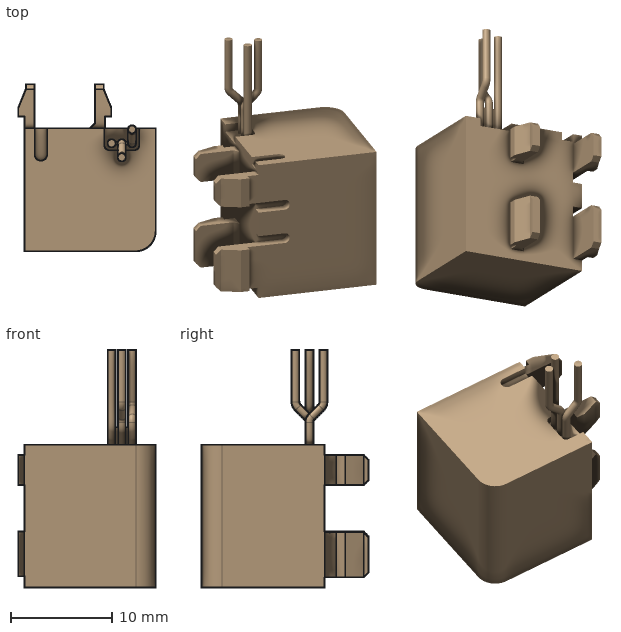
import cadquery as cq
import math

body_width = 13.0
body_depth = 12.2
body_height = 14.15
corner_radius = 2.0
top_recess_depth = 0.8

latch_thickness = 1.0
latch_length = 4.35
latch_tip_chamfer = 0.5
latch_tip_setback = 0.15
barb_reach = 0.6
barb_start = 1.13
barb_flat_end = 2.02
right_latch_face = 8.0
upper_latch_bottom = 10.13
upper_latch_height = 2.98
lower_latch_bottom = 1.1
lower_latch_height = 4.45
right_latch_drop = 0.1
gusset_size = 0.5

relief_length = 3.22
side_slot_width = 1.03
top_slot_width = 1.25

pin_diameter = 0.8
pin_pitch = 1.0
middle_pin_x = 9.64
pin_y = -1.5
pin_top = 23.5
bend_start = body_height + 2.19
bend_radius = 0.8
bend_angle = math.radians(45)
bend_offset = 1.39
web_thickness = 0.28
web_height = 1.72

pin_recess_width = 3.45
pin_recess_depth = 2.19
pin_recess_radius = 0.5

recess_floor = body_height - top_recess_depth


def box(x_min, y_min, z_min, width, depth, height):
    return cq.Workplane("XY").box(width, depth, height, centered=False).translate((x_min, y_min, z_min))


def make_body():
    block = box(0, -body_depth, 0, body_width, body_depth, body_height)
    return block.edges("|Z and >X and <Y").fillet(corner_radius)


def make_side_slot(bottom):
    """Round-ended slot in the left face, as deep as a latch is thick."""
    radius = side_slot_width / 2
    straight_length = relief_length - radius
    profile = (
        cq.Workplane("YZ")
        .moveTo(0, bottom)
        .lineTo(-straight_length, bottom)
        .threePointArc((-relief_length, bottom + radius), (-straight_length, bottom + side_slot_width))
        .lineTo(0, bottom + side_slot_width)
        .close()
    )
    return profile.extrude(latch_thickness)


def make_top_slot():
    """Round-ended slot in the top face, just inside the left latches."""
    radius = top_slot_width / 2
    straight_length = relief_length - radius
    left = latch_thickness
    right = left + top_slot_width
    profile = (
        cq.Workplane("XY", origin=(0, 0, recess_floor))
        .moveTo(left, 0)
        .lineTo(left, -straight_length)
        .threePointArc((left + radius, -relief_length), (right, -straight_length))
        .lineTo(right, 0)
        .close()
    )
    return profile.extrude(top_recess_depth)


def make_pin_recess():
    left = middle_pin_x - pin_recess_width / 2
    recess = box(left, -pin_recess_depth, recess_floor, pin_recess_width, pin_recess_depth, top_recess_depth)
    return recess.edges("|Z and <Y").fillet(pin_recess_radius)


def make_latch(bottom, height):
    """Latch with its barb towards -X and its outer face at X = 0."""
    profile = [
        (0, 0),
        (0, barb_start),
        (-barb_reach, barb_start),
        (-barb_reach, barb_flat_end),
        (latch_tip_setback, latch_length - latch_tip_chamfer),
        (latch_tip_setback, latch_length),
        (latch_thickness, latch_length),
        (latch_thickness, 0),
    ]
    latch = cq.Workplane("XY").polyline(profile).close().extrude(height)
    latch = latch.faces(">Y").edges("|X").chamfer(latch_tip_chamfer)
    return latch.translate((0, 0, bottom))


def make_right_latch(bottom, height):
    """Mirrored latch, braced by a gusset at its inner root."""
    gusset = (
        cq.Workplane("XY")
        .moveTo(latch_thickness, 0)
        .lineTo(latch_thickness + gusset_size, 0)
        .lineTo(latch_thickness, gusset_size)
        .close()
        .extrude(height)
        .translate((0, 0, bottom))
    )
    latch = make_latch(bottom, height).union(gusset)
    return latch.mirror("YZ").translate((right_latch_face, 0, 0))


def make_straight_pin(x):
    base = cq.Workplane("XY", origin=(x, pin_y, recess_floor))
    return base.circle(pin_diameter / 2).extrude(pin_top - recess_floor)


def make_bent_pin(x, direction):
    """Pin stepped sideways along Y by two equal, opposite bends."""
    arc_rise = bend_radius * math.sin(bend_angle)
    arc_shift = bend_radius * (1 - math.cos(bend_angle))
    slope_shift = bend_offset - 2 * arc_shift
    slope_rise = slope_shift / math.tan(bend_angle)
    slope_start = bend_start + arc_rise
    slope_end = slope_start + slope_rise
    path = (
        cq.Workplane("YZ", origin=(x, 0, 0))
        .moveTo(pin_y, recess_floor)
        .lineTo(pin_y, bend_start)
        .tangentArcPoint((pin_y + direction * arc_shift, slope_start), relative=False)
        .lineTo(pin_y + direction * (bend_offset - arc_shift), slope_end)
        .tangentArcPoint((pin_y + direction * bend_offset, slope_end + arc_rise), relative=False)
        .lineTo(pin_y + direction * bend_offset, pin_top)
    )
    base = cq.Workplane("XY", origin=(x, pin_y, recess_floor))
    return base.circle(pin_diameter / 2).sweep(path)


def make_web():
    """Thin strip that joins the three pins near their roots."""
    return box(
        middle_pin_x - pin_pitch,
        pin_y - web_thickness / 2,
        recess_floor,
        2 * pin_pitch,
        web_thickness,
        top_recess_depth + web_height,
    )


upper_slot_bottom = upper_latch_bottom - side_slot_width
lower_slot_bottom = lower_latch_bottom + lower_latch_height

result = make_body()
for slot_bottom in (upper_slot_bottom, lower_slot_bottom):
    result = result.cut(make_side_slot(slot_bottom))
result = result.cut(make_top_slot()).cut(make_pin_recess())

result = result.union(make_latch(upper_latch_bottom, upper_latch_height))
result = result.union(make_latch(lower_latch_bottom, lower_latch_height))
result = result.union(make_right_latch(upper_latch_bottom, upper_latch_height))
result = result.union(make_right_latch(lower_latch_bottom - right_latch_drop, lower_latch_height))

result = result.union(make_straight_pin(middle_pin_x - pin_pitch))
result = result.union(make_bent_pin(middle_pin_x, -1))
result = result.union(make_bent_pin(middle_pin_x + pin_pitch, 1))
result = result.union(make_web())